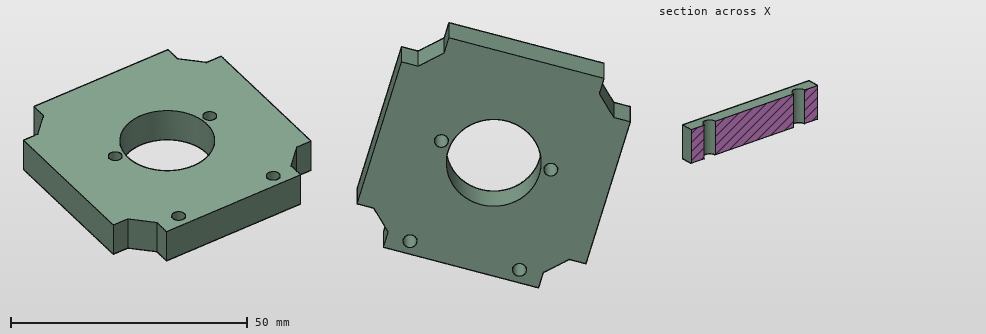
import cadquery as cq

side = 50.3
thickness = 8.0

edge_length = 34.1
notch_wall = 3.65

bore_diameter = 20.0
screw_diameter = 2.9
screw_spacing = 24.05
pattern_center_x = 10.2

half_side = side / 2
half_edge = edge_length / 2
wall_end = half_side - notch_wall


def corner_notch(x_sign, y_sign):
    """Cutter for the notch in the corner given by the two signs."""
    corner_points = [
        (half_side, half_edge),
        (wall_end, half_edge),
        (half_edge, wall_end),
        (half_edge, half_side),
        (half_side, half_side),
    ]
    points = [(x_sign * x, y_sign * y) for x, y in corner_points]
    return cq.Workplane("XY").polyline(points).close().extrude(thickness)


plate = cq.Workplane("XY").rect(side, side).extrude(thickness)
for x_sign in (-1, 1):
    for y_sign in (-1, 1):
        plate = plate.cut(corner_notch(x_sign, y_sign))

plate = plate.cut(cq.Workplane("XY").circle(bore_diameter / 2).extrude(thickness))

screw_holes = (
    cq.Workplane("XY")
    .center(pattern_center_x, 0)
    .rect(screw_spacing, screw_spacing, forConstruction=True)
    .vertices()
    .circle(screw_diameter / 2)
    .extrude(thickness)
)
result = plate.cut(screw_holes)